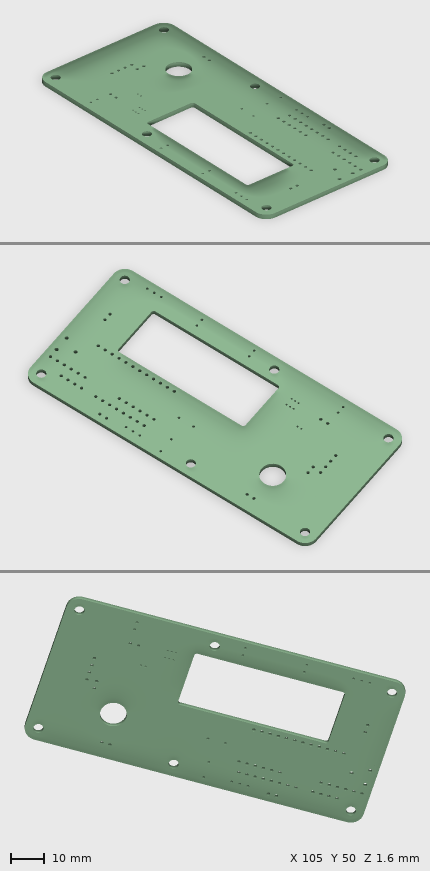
import cadquery as cq

LENGTH = 105.0
WIDTH = 50.0
THICKNESS = 1.6
CORNER_RADIUS = 4.0

MOUNT_DIAMETER = 3.0
MOUNT_X = LENGTH / 2 - CORNER_RADIUS
MOUNT_Y = WIDTH / 2 - CORNER_RADIUS
MOUNT_SHIFT_X = 0.05
MIDDLE_MOUNT_X = -6.5

WINDOW_LENGTH = 46.7
WINDOW_WIDTH = 18.2
WINDOW_CENTER = (11.95, -8.03)
WINDOW_CORNER_RADIUS = 0.8

OPENING_DIAMETER = 8.0
OPENING_CENTER = (-28.52, 9.98)

PITCH = 2.54
HALF_PITCH = PITCH / 2
METRIC_PITCH = 2.5
COMPONENT_SPAN = 5.37
VIA_SPACING = 1.4
TRIMMER_SPACING = 2 * PITCH
VIA_DIAMETER = 0.6
LEAD_DIAMETER = 0.8
SMALL_PIN_DIAMETER = 0.81
PIN_DIAMETER = 1.0
HEADER_DIAMETER = 1.02
TRIMMER_DIAMETER = 1.2

VIA_ROW_Y = -12.97

ROWS_ALONG_X = [
    (HEADER_DIAMETER, 12.83, 18.13, 8, PITCH),
    (HEADER_DIAMETER, 12.88, 2.88, 12, PITCH),
    (PIN_DIAMETER, 11.83, 14.58, 6, PITCH),
    (HEADER_DIAMETER, 35.82, 18.15, 4, METRIC_PITCH),
    (HEADER_DIAMETER, 37.28, 14.41, 6, PITCH),
    (LEAD_DIAMETER, 11.74, 21.75, 3, PITCH),
    (PIN_DIAMETER, 23.40, 22.55, 2, METRIC_PITCH),
    (PIN_DIAMETER, -29.05, 20.16, 2, METRIC_PITCH),
    (PIN_DIAMETER, -30.72, -14.65, 2, PITCH),
    (LEAD_DIAMETER, 0.76, 9.75, 2, COMPONENT_SPAN),
    (VIA_DIAMETER, -25.56, -8.45, 2, VIA_SPACING),
    (VIA_DIAMETER, -19.42, VIA_ROW_Y, 3, HALF_PITCH),
    (VIA_DIAMETER, -19.42, VIA_ROW_Y - PITCH, 3, HALF_PITCH),
    (SMALL_PIN_DIAMETER, 36.18, -22.40, 3, PITCH),
]

ROWS_ALONG_Y = [
    (HEADER_DIAMETER, -39.49, -6.72, 4, PITCH),
    (PIN_DIAMETER, -36.53, 0.60, 2, PITCH),
    (HEADER_DIAMETER, 44.79, -8.43, 2, PITCH),
    (TRIMMER_DIAMETER, 50.04, 6.17, 2, TRIMMER_SPACING),
    (LEAD_DIAMETER, 3.37, 17.35, 2, COMPONENT_SPAN),
    (LEAD_DIAMETER, -30.93, -22.16, 2, PITCH),
    (LEAD_DIAMETER, 2.43, -23.03, 2, PITCH),
    (LEAD_DIAMETER, 21.53, -22.87, 2, PITCH),
]

TRIMMER_WIPER = (44.96, 8.65)


def make_board():
    board = cq.Workplane("XY").box(LENGTH, WIDTH, THICKNESS, centered=(True, True, False))
    return board.edges("|Z").fillet(CORNER_RADIUS)


def drill(board, diameter, points):
    cutter = cq.Workplane("XY").pushPoints(points).circle(diameter / 2).extrude(THICKNESS)
    return board.cut(cutter)


def cut_window(board):
    window = cq.Workplane("XY").center(*WINDOW_CENTER).rect(WINDOW_LENGTH, WINDOW_WIDTH).extrude(THICKNESS)
    return board.cut(window.edges("|Z").fillet(WINDOW_CORNER_RADIUS))


def drill_mounts(board):
    columns = (-MOUNT_X, MIDDLE_MOUNT_X, MOUNT_X)
    points = [(x + MOUNT_SHIFT_X, y) for x in columns for y in (-MOUNT_Y, MOUNT_Y)]
    return drill(board, MOUNT_DIAMETER, points)


def drill_lead_holes(board):
    for diameter, x, y, count, spacing in ROWS_ALONG_X:
        board = drill(board, diameter, [(x + i * spacing, y) for i in range(count)])
    for diameter, x, y, count, spacing in ROWS_ALONG_Y:
        board = drill(board, diameter, [(x, y + i * spacing) for i in range(count)])
    return drill(board, TRIMMER_DIAMETER, [TRIMMER_WIPER])


result = make_board()
result = cut_window(result)
result = drill(result, OPENING_DIAMETER, [OPENING_CENTER])
result = drill_mounts(result)
result = drill_lead_holes(result)